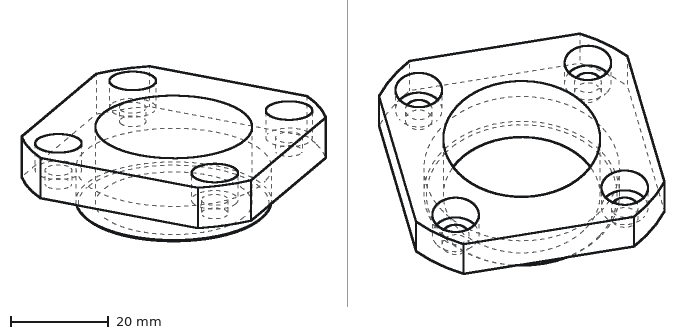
import cadquery as cq

flange_diameter = 62.9
flange_width = 51.9
flange_thickness = 9.0

total_height = 17.0
spigot_diameter = 39.9
spigot_chamfer = 0.5
spigot_height = total_height - flange_thickness
bore_diameter = 32.0

hole_count = 4
hole_circle_radius = 24.95
hole_diameter = 5.5
counterbore_diameter = 9.5
counterbore_depth = 6.0


def make_flange():
    disc = cq.Workplane("XY").circle(flange_diameter / 2).extrude(flange_thickness)
    square = (
        cq.Workplane("XY")
        .rect(flange_width, flange_width)
        .extrude(flange_thickness)
        .rotate((0, 0, 0), (0, 0, 1), 45)
    )
    return disc.intersect(square)


def make_spigot():
    spigot = cq.Workplane("XY").circle(spigot_diameter / 2).extrude(-spigot_height)
    return spigot.faces("<Z").chamfer(spigot_chamfer)


body = make_flange().union(make_spigot())

drilled = (
    body.faces(">Z")
    .workplane(origin=(0, 0, flange_thickness))
    .polarArray(hole_circle_radius, 0, 360, hole_count)
    .cboreHole(hole_diameter, counterbore_diameter, counterbore_depth)
)

result = drilled.faces(">Z").workplane(origin=(0, 0, flange_thickness)).hole(bore_diameter)